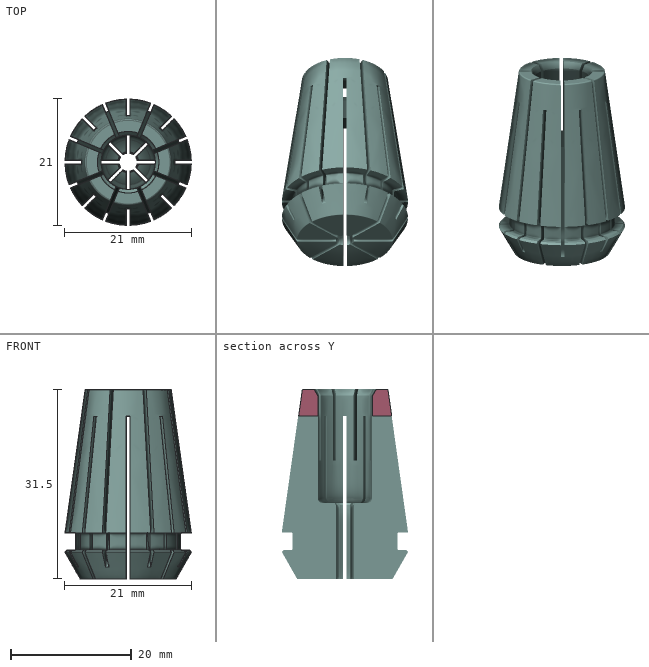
import cadquery as cq
import math

HEIGHT = 31.5
MAX_RADIUS = 10.5
TAPER_ANGLE = 8.0
TAPER_BOTTOM_Z = 7.7
TOP_EDGE_ROUND = 0.22
GROOVE_BOTTOM_Z = 4.8
GROOVE_RADIUS = 8.73
GROOVE_ROUND = 0.2
FLANGE_CHAMFER = 0.3
NOSE_RADIUS = 7.95
NOSE_EDGE_ROUND = 0.1

BORE_RADIUS = 9.0 / 2
BORE_FLOOR_Z = 12.6
BORE_FLOOR_ROUND = 0.8
BORE_MOUTH_RADIUS = 5.1
MOUTH_ANGLE = 30.0
TOOL_HOLE_RADIUS = 1.5
TOOL_HOLE_MOUTH_RADIUS = 1.73

SLIT_COUNT = 8
SLIT_WIDTH = 0.6
SLIT_PITCH = 360.0 / SLIT_COUNT
LOWER_SLIT_TOP_Z = 27.03
UPPER_SLIT_BOTTOM_Z = 2.0
UPPER_SLIT_FLOOR_ANGLE = 14.5

CUTTER_OVERRUN = 1.58
SLIT_REACH = MAX_RADIUS + CUTTER_OVERRUN


def slope(degrees):
    """Sideways run per unit of height for an angle measured from the axis."""
    return math.tan(math.radians(degrees))


def make_body():
    """Solid outer shape, turned about the Z axis."""
    top_radius = MAX_RADIUS - (HEIGHT - TAPER_BOTTOM_Z) * slope(TAPER_ANGLE)
    outline = [
        (0, 0),
        (NOSE_RADIUS, 0),
        (MAX_RADIUS, GROOVE_BOTTOM_Z - FLANGE_CHAMFER),
        (MAX_RADIUS - FLANGE_CHAMFER, GROOVE_BOTTOM_Z),
        (GROOVE_RADIUS, GROOVE_BOTTOM_Z),
        (GROOVE_RADIUS, TAPER_BOTTOM_Z),
        (MAX_RADIUS, TAPER_BOTTOM_Z),
        (top_radius, HEIGHT),
        (0, HEIGHT),
    ]
    body = cq.Workplane("XZ").polyline(outline).close().revolve(360, (0, 0), (0, 1))
    body = body.faces(">Z").edges().fillet(TOP_EDGE_ROUND)
    body = body.faces("<Z").edges().fillet(NOSE_EDGE_ROUND)
    groove_corners = body.faces("%CYLINDER").edges("%CIRCLE")
    return groove_corners.fillet(GROOVE_ROUND)


def cut_hole(body):
    """Narrow tool hole through the nose, opening into a wide bore from the top."""
    bore_mouth_depth = (BORE_MOUTH_RADIUS - BORE_RADIUS) / slope(MOUTH_ANGLE)
    tool_mouth_depth = (TOOL_HOLE_MOUTH_RADIUS - TOOL_HOLE_RADIUS) / slope(MOUTH_ANGLE)
    floor_edge_z = BORE_FLOOR_Z + BORE_FLOOR_ROUND
    arc_inset = 1 - math.sqrt(0.5)
    hole = (
        cq.Workplane("XZ")
        .lineTo(TOOL_HOLE_RADIUS, 0)
        .lineTo(TOOL_HOLE_RADIUS, BORE_FLOOR_Z - tool_mouth_depth)
        .lineTo(TOOL_HOLE_MOUTH_RADIUS, BORE_FLOOR_Z)
        .lineTo(BORE_RADIUS - BORE_FLOOR_ROUND, BORE_FLOOR_Z)
        .threePointArc(
            (BORE_RADIUS - arc_inset * BORE_FLOOR_ROUND, BORE_FLOOR_Z + arc_inset * BORE_FLOOR_ROUND),
            (BORE_RADIUS, floor_edge_z),
        )
        .lineTo(BORE_RADIUS, HEIGHT - bore_mouth_depth)
        .lineTo(BORE_MOUTH_RADIUS, HEIGHT)
        .lineTo(0, HEIGHT)
        .close()
        .revolve(360, (0, 0), (0, 1))
    )
    return body.cut(hole)


def make_slit(outline):
    """Slit cutter from a radial outline (radius, height), pointing along +X."""
    return cq.Workplane("XZ").polyline(outline).close().extrude(SLIT_WIDTH / 2, both=True)


def cut_slits(body, slit, first_angle):
    """Cut evenly spaced slits around the Z axis."""
    for index in range(SLIT_COUNT):
        angle = first_angle + index * SLIT_PITCH
        body = body.cut(slit.rotate((0, 0, 0), (0, 0, 1), angle))
    return body


lower_slit = make_slit([
    (0, 0),
    (SLIT_REACH, 0),
    (SLIT_REACH, LOWER_SLIT_TOP_Z),
    (0, LOWER_SLIT_TOP_Z),
])

nose_slope = (MAX_RADIUS - NOSE_RADIUS) / (GROOVE_BOTTOM_Z - FLANGE_CHAMFER)
floor_outer_radius = NOSE_RADIUS + UPPER_SLIT_BOTTOM_Z * nose_slope
floor_slope = slope(UPPER_SLIT_FLOOR_ANGLE)
floor_axis_z = UPPER_SLIT_BOTTOM_Z + floor_outer_radius / floor_slope
floor_reach_z = UPPER_SLIT_BOTTOM_Z - (SLIT_REACH - floor_outer_radius) / floor_slope
upper_slit = make_slit([
    (0, floor_axis_z),
    (SLIT_REACH, floor_reach_z),
    (SLIT_REACH, floor_axis_z),
])

result = cut_hole(make_body())
result = cut_slits(result, lower_slit, 0)
result = cut_slits(result, upper_slit, SLIT_PITCH / 2)